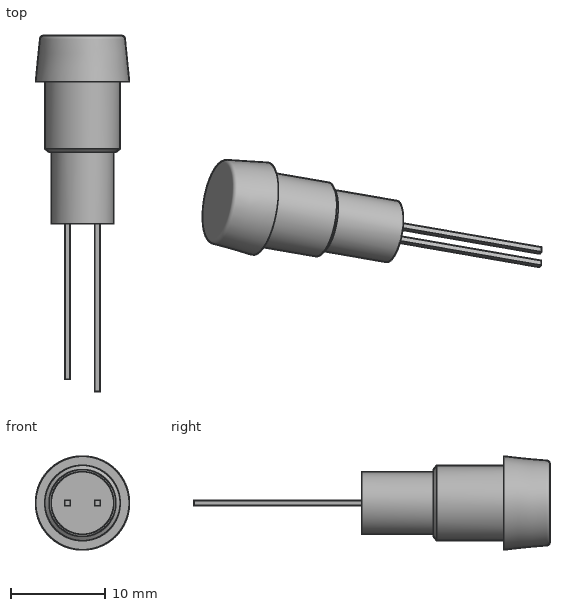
import cadquery as cq

total_length = 37.75
cap_length = 4.9
body_length = 7.47
tail_length = 7.6
lead_length_difference = 1.3

cap_base_radius = 5.0
cap_face_radius = 4.5
cap_edge_radius = 0.4
body_radius = 4.0
body_chamfer_length = 0.38
body_chamfer_depth = 0.45
tail_radius = 3.32

lead_width = 0.55
lead_spacing = 3.17

face_y = total_length / 2
cap_base_y = face_y - cap_length
body_end_y = cap_base_y - body_length
tail_end_y = body_end_y - tail_length
long_lead_end_y = -total_length / 2
short_lead_end_y = long_lead_end_y + lead_length_difference


def make_housing():
    """Tapered cap, chamfered body and tail, revolved about the Y axis."""
    profile = (
        cq.Workplane("XY")
        .moveTo(0, face_y)
        .lineTo(cap_face_radius, face_y)
        .lineTo(cap_base_radius, cap_base_y)
        .lineTo(body_radius, cap_base_y)
        .lineTo(body_radius, body_end_y + body_chamfer_length)
        .lineTo(body_radius - body_chamfer_depth, body_end_y)
        .lineTo(tail_radius, body_end_y)
        .lineTo(tail_radius, tail_end_y)
        .lineTo(0, tail_end_y)
        .close()
    )
    housing = profile.revolve(360, (0, 0, 0), (0, 1, 0))
    return housing.faces(">Y").edges().fillet(cap_edge_radius)


def make_lead(x, end_y):
    """Square lead that starts on the tail's end face."""
    length = tail_end_y - end_y
    return (
        cq.Workplane("XY")
        .box(lead_width, length, lead_width)
        .translate((x, end_y + length / 2, 0))
    )


result = make_housing()
for x, end_y in ((-lead_spacing / 2, short_lead_end_y), (lead_spacing / 2, long_lead_end_y)):
    result = result.union(make_lead(x, end_y))